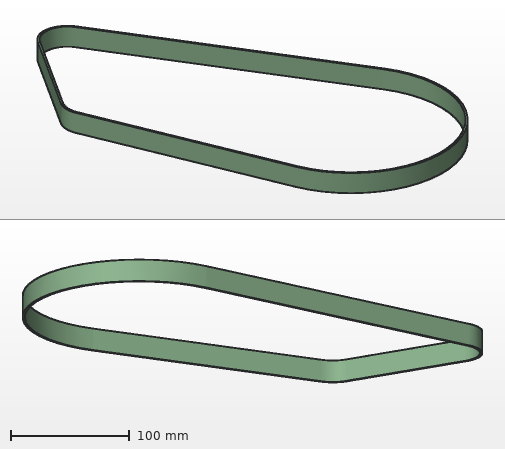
import cadquery as cq
import math

belt_length = 396.5
belt_width = 19.0
belt_thickness = 2.0
large_radius = 98.3
small_radius = 25.5

upper_center = (large_radius + small_radius - belt_length, 65.8)
lower_center = (-219.0, -35.3)

pulleys = [
    ((0.0, 0.0), large_radius),
    (upper_center, small_radius),
    (lower_center, small_radius),
]


def point_on(center, radius, angle):
    """Point on a circle at an angle in radians."""
    return (center[0] + radius * math.cos(angle), center[1] + radius * math.sin(angle))


def tangent_angle(start, end):
    """Direction of the outward normal of the straight run from start to end."""
    (start_center, start_radius), (end_center, end_radius) = start, end
    dx = end_center[0] - start_center[0]
    dy = end_center[1] - start_center[1]
    distance = math.hypot(dx, dy)
    return math.atan2(dy, dx) - math.acos((start_radius - end_radius) / distance)


def belt_loop(inset):
    """Solid bounded by the belt's outer surface, moved inward by inset."""
    count = len(pulleys)
    run_angles = [tangent_angle(pulleys[i], pulleys[(i + 1) % count]) for i in range(count)]
    last_center, last_radius = pulleys[-1]
    outline = cq.Workplane("XY").moveTo(*point_on(last_center, last_radius - inset, run_angles[-1]))
    for i, (center, outer_radius) in enumerate(pulleys):
        radius = outer_radius - inset
        arrive = run_angles[i - 1]
        leave = run_angles[i]
        middle = arrive + ((leave - arrive) % math.tau) / 2
        outline = outline.lineTo(*point_on(center, radius, arrive))
        outline = outline.threePointArc(
            point_on(center, radius, middle), point_on(center, radius, leave)
        )
    return outline.close().extrude(belt_width)


result = belt_loop(0).cut(belt_loop(belt_thickness))